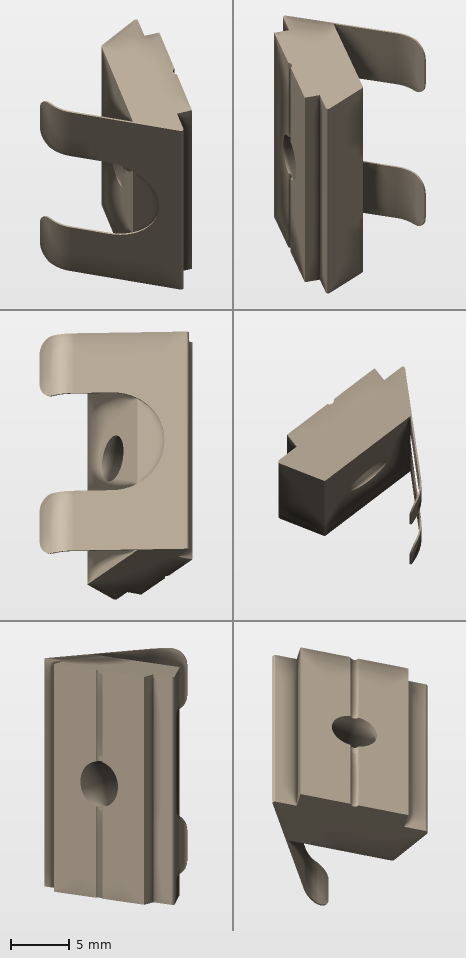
import cadquery as cq
import math

length = 20.0
width = 13.72
flange_height = 3.9
block_height = 5.25
rib_width = 9.55
edge_radius = 0.2
flank_angle = 60.0
hole_diameter = 4.0
groove_radius = 0.4
groove_depth = 0.22

sheet_thickness = 0.15
spring_drop = 6.75
straight_drop = 4.9
bend_radius = 3.3
tip_angle = 25.0
tip_corner_radius = 1.4
window_width = 9.0
window_top_x = 5.88

flank = math.radians(flank_angle)
tip = math.radians(tip_angle)

flange_corner_x = width / 2 + edge_radius * (1 / math.tan(flank / 2) - 1)
bottom_corner_x = flange_corner_x - flange_height / math.tan(flank)


def along(point, angle, distance):
    """Move a point down and toward -X, at the given angle from the X axis."""
    return (point[0] - distance * math.cos(angle), point[1] - distance * math.sin(angle))


def inward(point, angle):
    """Move a point from the sheet's outer surface to its inner surface."""
    return (
        point[0] - sheet_thickness * math.sin(angle),
        point[1] + sheet_thickness * math.cos(angle),
    )


def make_block():
    half_rib = rib_width / 2
    outline = [
        (-bottom_corner_x, 0),
        (bottom_corner_x, 0),
        (flange_corner_x, flange_height),
        (half_rib, flange_height),
        (half_rib, block_height),
        (-half_rib, block_height),
        (-half_rib, flange_height),
        (-flange_corner_x, flange_height),
    ]
    block = cq.Workplane("XY").polyline(outline).close().extrude(length / 2, both=True)

    flange_edges = block.edges("|Z").edges(">X or <X")
    block = flange_edges.fillet(edge_radius)
    bottom_left_edge = block.edges("|Z").edges("<Y").edges("<X")
    block = bottom_left_edge.fillet(edge_radius)

    groove_y = block_height - groove_depth + groove_radius
    groove = cq.Workplane("XY").center(0, groove_y).circle(groove_radius).extrude(length, both=True)
    hole = cq.Workplane("XZ").circle(hole_diameter / 2).extrude(2 * block_height, both=True)
    return block.cut(groove).cut(hole)


def make_sheet():
    start = along((bottom_corner_x, 0), flank, -flange_height / 2)
    bend_start = along((bottom_corner_x, 0), flank, straight_drop / math.sin(flank))
    bend_center = (
        bend_start[0] - bend_radius * math.sin(flank),
        bend_start[1] + bend_radius * math.cos(flank),
    )

    def bend_point(angle, radius):
        return (
            bend_center[0] + radius * math.sin(angle),
            bend_center[1] - radius * math.cos(angle),
        )

    middle = (flank + tip) / 2
    inner_radius = bend_radius - sheet_thickness
    bend_end = bend_point(tip, bend_radius)
    tip_length = (bend_end[1] + spring_drop) / math.sin(tip)
    tip_end = along(bend_end, tip, tip_length)

    sheet = (
        cq.Workplane("XY")
        .moveTo(*start)
        .lineTo(*bend_start)
        .threePointArc(bend_point(middle, bend_radius), bend_end)
        .lineTo(*tip_end)
        .lineTo(*inward(tip_end, tip))
        .lineTo(*bend_point(tip, inner_radius))
        .threePointArc(bend_point(middle, inner_radius), bend_point(flank, inner_radius))
        .lineTo(*inward(start, flank))
        .close()
        .extrude(length / 2, both=True)
    )
    return sheet


def make_window(depth, outside=0.0):
    """Round-ended opening normal to the flank, reaching past the spring tips."""
    radius = window_width / 2
    top_distance = (bottom_corner_x - window_top_x) / math.cos(flank)
    center = along((bottom_corner_x, 0), flank, top_distance + radius)
    flank_plane = cq.Plane(
        origin=(center[0], center[1], 0),
        xDir=(-math.cos(flank), -math.sin(flank), 0),
        normal=(-math.sin(flank), math.cos(flank), 0),
    )
    opening = (
        cq.Workplane(flank_plane)
        .workplane(offset=-outside)
        .moveTo(0, radius)
        .threePointArc((-radius, 0), (0, -radius))
        .lineTo(length, -radius)
        .lineTo(length, radius)
        .close()
        .extrude(depth + outside)
    )
    return opening


def round_tips(spring):
    """Round both corners of each tab's free end."""
    tip_normal = cq.Vector(math.sin(tip), -math.cos(tip), 0)
    end_edges = spring.faces("<X").edges(cq.selectors.ParallelDirSelector(tip_normal))
    return end_edges.fillet(tip_corner_radius)


block = make_block().cut(make_window(sheet_thickness, outside=edge_radius))
spring = round_tips(make_sheet().cut(make_window(spring_drop, outside=edge_radius)))
result = block.union(spring)